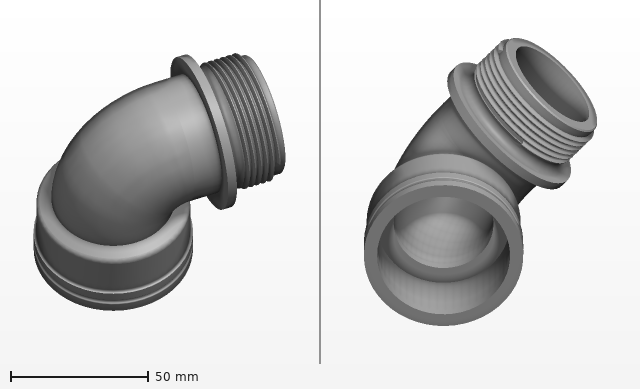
import cadquery as cq
import math

pipe_radius = 22.61
bore_radius = 36.4 / 2
bend_radius = 23.0
inner_half_angle = 40
spigot_height = 51.8
spigot_end = 58.75
tip_chamfer = 0.5

rim_radius = 58.1 / 2
socket_radius = 28.1
socket_bore_radius = 48.5 / 2
socket_bore_depth = 24.6
socket_height = 29.8
shoulder_height = 27.2
shoulder_fillet = 2.0
band_step = rim_radius - socket_radius
band_top = 9.9
groove_height = 5.0
groove_edge_fillet = 0.4

flange_front = 33.6
flange_thickness = 3.4
flange_back = flange_front + flange_thickness
neck_fillet = 3.0

thread_radius = 48.5 / 2
thread_pitch = 2.4
thread_turns = 5.75
thread_start = 42.15
crest_width = 0.3
flank_angle = 27.5
thread_overlap = 0.22

inner_low_angle = 225
select_margin = 0.1


def arc_point(center, radius, angle):
    """Point on a circle, in the direction given by an angle in degrees."""
    turn = math.radians(angle)
    return (center[0] + radius * math.cos(turn), center[1] + radius * math.sin(turn))


def height_band(low, high):
    """Selector for the edges that lie wholly between two heights of the socket."""
    reach = rim_radius + select_margin
    return cq.selectors.BoxSelector(
        (-reach, -reach, low - select_margin),
        (reach, reach, high + select_margin),
        boundingbox=True,
    )


def make_socket():
    """Socket body: bottom ring, round groove, upper ring, plain wall and conical shoulder."""
    groove_low = groove_height - band_step
    groove_high = groove_height + band_step
    wall_start = band_top + band_step
    body = (
        cq.Workplane("XZ")
        .lineTo(rim_radius, 0)
        .lineTo(rim_radius, groove_low)
        .threePointArc((rim_radius - band_step, groove_height), (rim_radius, groove_high))
        .lineTo(rim_radius, band_top)
        .threePointArc(
            arc_point((rim_radius, wall_start), band_step, inner_low_angle),
            (socket_radius, wall_start),
        )
        .lineTo(socket_radius, shoulder_height)
        .lineTo(pipe_radius, socket_height)
        .lineTo(0, socket_height)
        .close()
        .revolve(360, (0, 0), (0, 1))
    )
    return (
        body.edges(height_band(shoulder_height, shoulder_height))
        .edges("%CIRCLE")
        .fillet(shoulder_fillet)
        .edges(height_band(groove_low, groove_low) + height_band(groove_high, groove_high))
        .edges("%CIRCLE")
        .fillet(groove_edge_fillet)
    )


def make_bend(radius):
    """Quarter bend of a round section, swept as a wide outer face and a narrow inner one."""
    center_line = (
        cq.Workplane("YZ")
        .moveTo(bend_radius, spigot_height)
        .radiusArc((0, spigot_height - bend_radius), -bend_radius)
    )
    return (
        cq.Workplane("XZ", origin=(0, bend_radius, spigot_height))
        .moveTo(*arc_point((0, 0), radius, 270 + inner_half_angle))
        .threePointArc((0, radius), arc_point((0, 0), radius, 270 - inner_half_angle))
        .threePointArc((0, -radius), arc_point((0, 0), radius, 270 + inner_half_angle))
        .close()
        .sweep(center_line)
    )


def make_spigot():
    """Spigot tube with its flange and the rounded neck between flange and thread."""
    neck_middle = flange_back + neck_fillet
    runout_angle = math.degrees(math.asin((thread_start - neck_middle) / neck_fillet))
    fillet_center = (pipe_radius + neck_fillet, neck_middle)
    return (
        cq.Workplane("XY")
        .moveTo(0, bend_radius)
        .lineTo(pipe_radius, bend_radius)
        .lineTo(pipe_radius, flange_front)
        .lineTo(rim_radius, flange_front)
        .lineTo(rim_radius, flange_back)
        .lineTo(pipe_radius + neck_fillet, flange_back)
        .threePointArc(
            arc_point(fillet_center, neck_fillet, inner_low_angle),
            (pipe_radius, neck_middle),
        )
        .threePointArc(
            arc_point(fillet_center, neck_fillet, 180 - runout_angle / 2),
            arc_point(fillet_center, neck_fillet, 180 - runout_angle),
        )
        .lineTo(pipe_radius, thread_start)
        .lineTo(pipe_radius, spigot_end - tip_chamfer)
        .lineTo(pipe_radius - tip_chamfer, spigot_end)
        .lineTo(0, spigot_end)
        .close()
        .revolve(360, (0, 0), (0, 1))
        .translate((0, 0, spigot_height))
    )


def make_thread():
    """Right-handed thread ridge that starts at the bottom of the spigot and climbs toward its end."""
    root_radius = pipe_radius - thread_overlap
    flank_spread = (thread_radius - root_radius) * math.tan(math.radians(flank_angle))
    half_crest = crest_width / 2
    half_root = half_crest + flank_spread
    helix = cq.Wire.makeHelix(thread_pitch, thread_pitch * thread_turns, root_radius)
    ridge = (
        cq.Workplane("XZ")
        .polyline([
            (root_radius, -half_root),
            (thread_radius, -half_crest),
            (thread_radius, half_crest),
            (root_radius, half_root),
        ])
        .close()
        .sweep(cq.Workplane("XY").add(helix), isFrenet=True)
    )
    return (
        ridge.rotate((0, 0, 0), (0, 0, 1), 90)
        .rotate((0, 0, 0), (1, 0, 0), -90)
        .translate((0, thread_start, spigot_height))
    )


def make_bore():
    """Passage through the spigot, the bend and the wider socket."""
    spigot_bore = (
        cq.Workplane("XZ", origin=(0, spigot_end, spigot_height))
        .circle(bore_radius)
        .extrude(spigot_end - bend_radius)
    )
    throat = cq.Workplane("XY").circle(bore_radius).extrude(spigot_height - bend_radius)
    socket_bore = cq.Workplane("XY").circle(socket_bore_radius).extrude(socket_bore_depth)
    return make_bend(bore_radius).union(spigot_bore).union(throat).union(socket_bore)


outer = make_socket()
for solid in (make_bend(pipe_radius), make_spigot(), make_thread()):
    outer = outer.union(solid, clean=False)
result = outer.cut(make_bore(), clean=False)